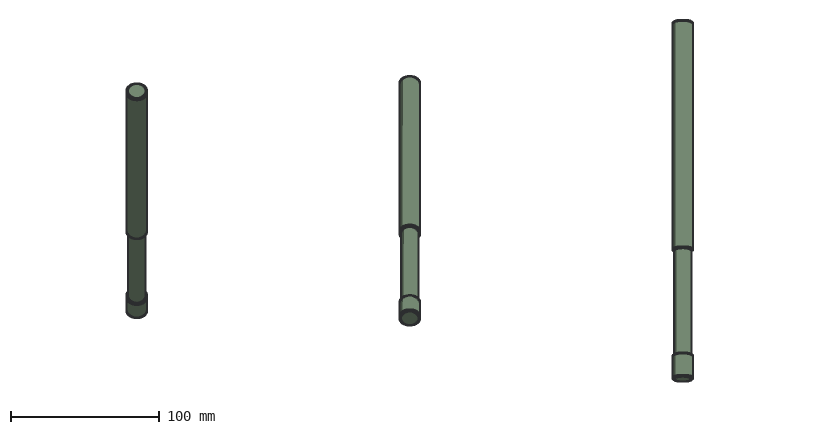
import cadquery as cq

total_length = 250.0
body_diameter = 14.0
neck_diameter = 12.0

head_length = 17.0
neck_length = 73.0
rim_chamfer = (body_diameter - neck_diameter) / 2

body_length = total_length - head_length - neck_length


def cylinder(diameter, bottom, length):
    """Upright cylinder centred on the pin axis."""
    return cq.Workplane("XY").workplane(offset=bottom).circle(diameter / 2).extrude(length)


head = (
    cylinder(body_diameter, 0, head_length)
    .faces("<Z").chamfer(rim_chamfer)
    .faces(">Z").chamfer(rim_chamfer)
)

neck = cylinder(neck_diameter, head_length, neck_length)

body = (
    cylinder(body_diameter, head_length + neck_length, body_length)
    .faces(">Z").chamfer(rim_chamfer)
    .faces("<Z").chamfer(rim_chamfer)
)

result = head.union(neck).union(body)